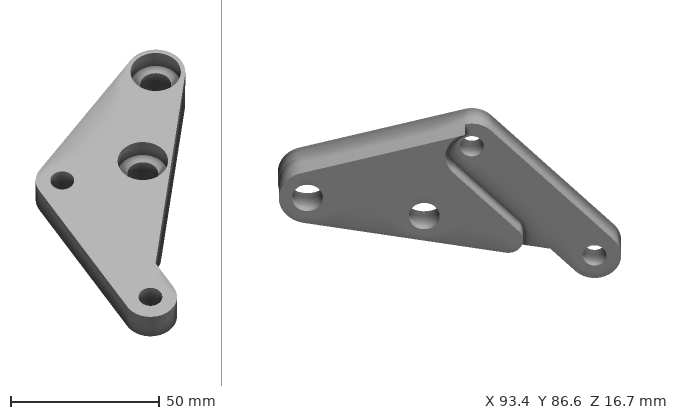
import cadquery as cq
import math

BLANK_SIZE = 373.6

PLATE_THICKNESS = 10.0
LOWER_THICKNESS = 6.7
TOTAL_HEIGHT = PLATE_THICKNESS + LOWER_THICKNESS
BOSS_HEIGHT = 6.7
COUNTERBORE_DEPTH = 6.6

TIP_BOLT = (0.0, 0.0)
MIDDLE_BOLT = (27.1, -29.5)
ELBOW_HOLE = (15.7, -55.7)
END_HOLE = (74.4, -67.6)

BOLT_DIAMETER = 10.5
COUNTERBORE_DIAMETER = 17.0
LINK_HOLE_DIAMETER = 8.0

BOSS_RADIUS = 10.0
LINK_RADIUS = 9.0
TIP_CORNER_RADIUS = 10.1
LOWER_CORNER_RADIUS = 5.0
MIDDLE_WALL_RADIUS = 9.6


def tangent_points(start, start_radius, end, end_radius, side):
    """Contact points of an outer tangent to two circles; side is 1 for left of travel, -1 for right."""
    dx = end[0] - start[0]
    dy = end[1] - start[1]
    lean = math.acos((start_radius - end_radius) / math.hypot(dx, dy))
    angle = math.atan2(dy, dx) + side * lean
    normal = (math.cos(angle), math.sin(angle))
    return [
        (centre[0] + radius * normal[0], centre[1] + radius * normal[1])
        for centre, radius in ((start, start_radius), (end, end_radius))
    ]


def intersection(first_line, second_line):
    """Point where two infinite lines, each given by two points, meet."""
    (ax, ay), (bx, by) = first_line
    (cx, cy), (dx, dy) = second_line
    ux, uy = bx - ax, by - ay
    vx, vy = dx - cx, dy - cy
    along = ((cx - ax) * vy - (cy - ay) * vx) / (ux * vy - uy * vx)
    return (ax + along * ux, ay + along * uy)


def cylinder(centre, radius, bottom, height):
    return cq.Workplane("XY", origin=(*centre, bottom)).circle(radius).extrude(height)


left_wall = tangent_points(TIP_BOLT, BOSS_RADIUS, ELBOW_HOLE, LINK_RADIUS, -1)
long_side = tangent_points(TIP_BOLT, BOSS_RADIUS, MIDDLE_BOLT, MIDDLE_WALL_RADIUS, 1)
link_upper_edge = tangent_points(ELBOW_HOLE, LINK_RADIUS, END_HOLE, LINK_RADIUS, 1)
link_lower_edge = tangent_points(ELBOW_HOLE, LINK_RADIUS, END_HOLE, LINK_RADIUS, -1)

tip = intersection(left_wall, long_side)
notch = intersection(long_side, link_upper_edge)


def edge_at(point):
    """Selector for the vertical edge nearest to a point of the outline."""
    return cq.selectors.NearestToPointSelector((*point, TOTAL_HEIGHT / 2))


def make_body():
    """Full-height wedge with a rounded tip."""
    outline = [tip, left_wall[1], ELBOW_HOLE, notch]
    wedge = cq.Workplane("XY").polyline(outline).close().extrude(TOTAL_HEIGHT)
    return wedge.edges("|Z").edges(edge_at(tip)).fillet(TIP_CORNER_RADIUS)


def make_link():
    """Round-ended bar joining the elbow and end holes, over the full height."""
    outline = [link_lower_edge[0], link_lower_edge[1], link_upper_edge[1], link_upper_edge[0]]
    link = cq.Workplane("XY").polyline(outline).close().extrude(TOTAL_HEIGHT)
    for centre in (ELBOW_HOLE, END_HOLE):
        link = link.union(cylinder(centre, LINK_RADIUS, 0, TOTAL_HEIGHT))
    return link


link = make_link()
body = make_body().cut(link)
body = body.edges("|Z").edges(edge_at(notch)).fillet(LOWER_CORNER_RADIUS)

plate_zone = (
    cq.Workplane("XY", origin=(0, 0, LOWER_THICKNESS)).rect(BLANK_SIZE, BLANK_SIZE).extrude(PLATE_THICKNESS)
)
plate = make_body().union(link).intersect(plate_zone)
result = body.union(plate)

result = result.union(cylinder(TIP_BOLT, BOSS_RADIUS, TOTAL_HEIGHT - BOSS_HEIGHT, BOSS_HEIGHT))

for centre in (TIP_BOLT, MIDDLE_BOLT):
    result = result.cut(cylinder(centre, BOLT_DIAMETER / 2, 0, TOTAL_HEIGHT))
    counterbore_floor = TOTAL_HEIGHT - COUNTERBORE_DEPTH
    result = result.cut(cylinder(centre, COUNTERBORE_DIAMETER / 2, counterbore_floor, COUNTERBORE_DEPTH))

for centre in (ELBOW_HOLE, END_HOLE):
    result = result.cut(cylinder(centre, LINK_HOLE_DIAMETER / 2, 0, TOTAL_HEIGHT))